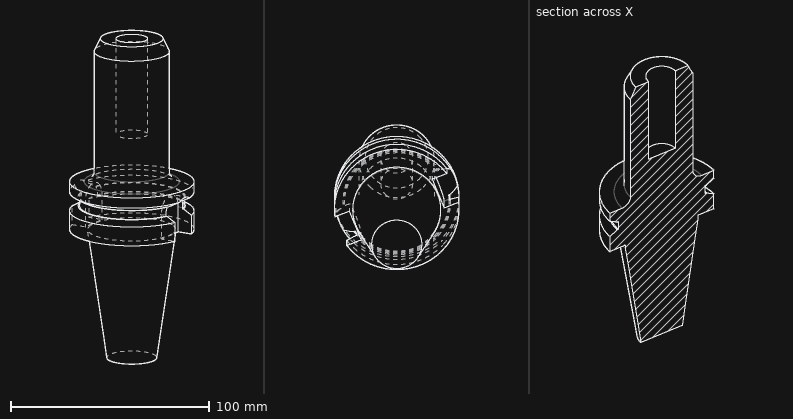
import cadquery as cq
import math

total_height = 167.0
taper_length = 65.5
flange_bottom = 67.1
flange_thickness = 25.0
flange_top = flange_bottom + flange_thickness

taper_ratio = 7 / 24
taper_large_radius = 22.2
taper_small_radius = taper_large_radius - taper_length * taper_ratio / 2

flange_diameter = 63.0
flange_radius = flange_diameter / 2
groove_wall_angle = 30
groove_radius = 26.4
groove_ledge = 0.7
groove_wall_radius = groove_radius + groove_ledge
groove_wall_rise = (flange_radius - groove_wall_radius) * math.tan(math.radians(groove_wall_angle))
lower_rim_height = 9.9
upper_rim_height = 5.3
groove_start = flange_bottom + lower_rim_height
groove_end = flange_top - upper_rim_height

nose_radius = 19.0
nose_fillet = 5.0
nose_tip_radius = 15.9
nose_tip_height = 6.7
bore_diameter = 16.0
bore_depth = 50.1

slot_width = 16.2
slot_height = 21.2
slot_floor_distance = 22.5


def make_body():
    """Revolve the half section of shank, flange and nose about Z."""
    fillet_offset = nose_fillet * (1 - math.sqrt(0.5))
    section = (
        cq.Workplane("XZ")
        .lineTo(taper_small_radius, 0)
        .lineTo(taper_large_radius, taper_length)
        .lineTo(taper_large_radius, flange_bottom)
        .lineTo(flange_radius, flange_bottom)
        .lineTo(flange_radius, groove_start)
        .lineTo(groove_wall_radius, groove_start + groove_wall_rise)
        .lineTo(groove_radius, groove_start + groove_wall_rise)
        .lineTo(groove_radius, groove_end - groove_wall_rise)
        .lineTo(groove_wall_radius, groove_end - groove_wall_rise)
        .lineTo(flange_radius, groove_end)
        .lineTo(flange_radius, flange_top)
        .lineTo(nose_radius + nose_fillet, flange_top)
        .threePointArc(
            (nose_radius + fillet_offset, flange_top + fillet_offset),
            (nose_radius, flange_top + nose_fillet),
        )
        .lineTo(nose_radius, total_height - nose_tip_height)
        .lineTo(nose_tip_radius, total_height)
        .lineTo(0, total_height)
        .close()
    )
    return section.revolve(360, (0, 0, 0), (0, 1, 0))


def make_bore():
    """Blind bore sunk from the top of the nose."""
    return (
        cq.Workplane("XY")
        .workplane(offset=total_height - bore_depth)
        .circle(bore_diameter / 2)
        .extrude(bore_depth)
    )


def make_drive_slot(side):
    """Round-topped slot, open below, cut from one side (-1 or 1) of the flange."""
    half_width = slot_width / 2
    slot_top = flange_bottom + slot_height
    arc_start = slot_top - half_width
    return (
        cq.Workplane("YZ", origin=(side * slot_floor_distance, 0, 0))
        .moveTo(-half_width, flange_bottom)
        .lineTo(-half_width, arc_start)
        .threePointArc((0, slot_top), (half_width, arc_start))
        .lineTo(half_width, flange_bottom)
        .close()
        .extrude(side * flange_radius)
    )


result = make_body().cut(make_bore())
for side in (-1, 1):
    result = result.cut(make_drive_slot(side))